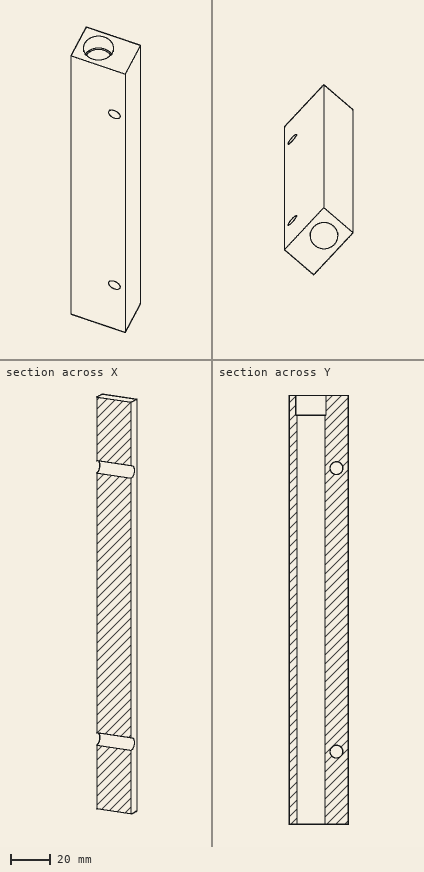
import cadquery as cq
import math

WIDTH = 30.0
DEPTH = 20.0
HEIGHT = 218.0

BORE_DIAMETER = 14.0
BORE_FROM_LEFT = 11.0

SOCKET_DIAMETER = 15.25
SOCKET_DEPTH = 10.0
DRILL_POINT_ANGLE = 118.0
SHOULDER_WIDTH = (SOCKET_DIAMETER - BORE_DIAMETER) / 2
SHOULDER_HEIGHT = SHOULDER_WIDTH / math.tan(math.radians(DRILL_POINT_ANGLE / 2))

CROSS_HOLE_DIAMETER = 6.4
CROSS_HOLE_FROM_RIGHT = 6.0
CROSS_HOLE_SPACING = 144.0
LOWER_HOLE_HEIGHT = (HEIGHT - CROSS_HOLE_SPACING) / 2


def make_bar():
    """Rectangular bar with its lower left front corner at the origin."""
    return cq.Workplane("XY").box(WIDTH, DEPTH, HEIGHT, centered=False)


def make_bore():
    """Solid of revolution that cuts the lengthwise bore, its conical shoulder and its top socket."""
    bore_radius = BORE_DIAMETER / 2
    socket_radius = SOCKET_DIAMETER / 2
    socket_floor = HEIGHT - SOCKET_DEPTH
    profile = (
        cq.Workplane("XZ", origin=(BORE_FROM_LEFT, DEPTH / 2, 0))
        .lineTo(bore_radius, 0)
        .lineTo(bore_radius, socket_floor - SHOULDER_HEIGHT)
        .lineTo(socket_radius, socket_floor)
        .lineTo(socket_radius, HEIGHT)
        .lineTo(0, HEIGHT)
        .close()
    )
    return profile.revolve(360, (0, 0), (0, 1))


def make_cross_hole(height):
    """Cylinder along Y that cuts one cross hole at the given height."""
    return (
        cq.Workplane("XZ")
        .center(WIDTH - CROSS_HOLE_FROM_RIGHT, height)
        .circle(CROSS_HOLE_DIAMETER / 2)
        .extrude(-DEPTH)
    )


result = make_bar().cut(make_bore())
for hole_height in (LOWER_HOLE_HEIGHT, LOWER_HOLE_HEIGHT + CROSS_HOLE_SPACING):
    result = result.cut(make_cross_hole(hole_height))